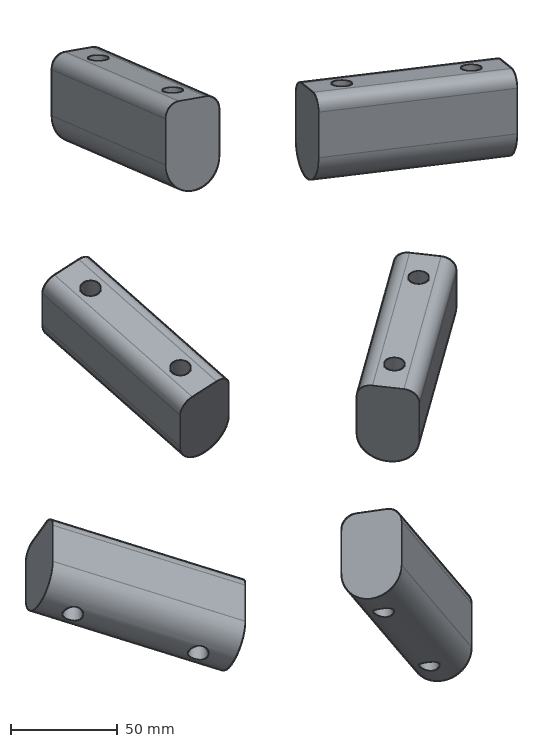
import cadquery as cq

length = 100.0
width = 30.0
height = 45.0

bottom_radius = width / 2
top_corner_radius = 7.5

hole_diameter = 9.75
hole_spacing = 65.125


def make_bar():
    """Bar along X with a half-round underside and rounded top edges."""
    half_width = width / 2
    bar = (
        cq.Workplane("YZ")
        .moveTo(-half_width, bottom_radius)
        .threePointArc((0, 0), (half_width, bottom_radius))
        .lineTo(half_width, height)
        .lineTo(-half_width, height)
        .close()
        .extrude(length / 2, both=True)
    )
    return bar.faces(">Z").edges("|X").fillet(top_corner_radius)


def drill_holes(bar):
    """Drill the pair of holes straight down through the middle of the bar."""
    hole_centres = [(-hole_spacing / 2, 0), (hole_spacing / 2, 0)]
    drills = cq.Workplane("XY").pushPoints(hole_centres).circle(hole_diameter / 2).extrude(height)
    return bar.cut(drills)


result = drill_holes(make_bar())